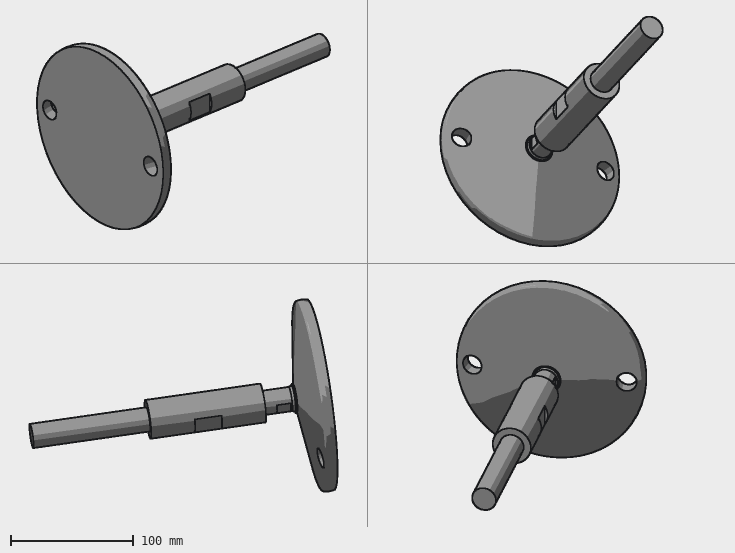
import cadquery as cq
import math

PLATE_DIAMETER = 158.0
RIM_DRAFT = 0.5
SEAM_HEIGHT = 4.0
RIM_HEIGHT = 9.3
RIM_FILLET = 2.5
CONE_TOP_HEIGHT = 20.8
CONE_TOP_RADIUS = 10.8

HOLE_DIAMETER = 16.5
HOLE_OFFSET = 62.5

ROD_DIAMETER = 20.0
ROD_END = 239.0
ROD_FLATS_WIDTH = 17.0
ROD_FLATS_START = 26.0
ROD_FLATS_LENGTH = 11.5

LIP_RADIUS = 12.0
LIP_HEIGHT = 22.0
FLARE_RADIUS = 11.0
FLARE_START = 22.5
FLARE_END = 24.9

SLEEVE_DIAMETER = 32.0
SLEEVE_START = 47.8
SLEEVE_LENGTH = 95.0
SLEEVE_FLATS_WIDTH = 27.0
SLEEVE_FLATS_LENGTH = 22.2

plate_radius = PLATE_DIAMETER / 2
rim_radius = plate_radius - RIM_DRAFT
rod_radius = ROD_DIAMETER / 2
sleeve_radius = SLEEVE_DIAMETER / 2
sleeve_end = SLEEVE_START + SLEEVE_LENGTH
sleeve_flats_start = SLEEVE_START + (SLEEVE_LENGTH - SLEEVE_FLATS_LENGTH) / 2


def revolve_about_y(points):
    """Revolve a closed (radius, y) profile about the Y axis."""
    return cq.Workplane("XY").polyline(points).close().revolve(360, (0, 0, 0), (0, 1, 0))


def make_hole_cutter(side):
    """Cylinder through the plate, leaning outward on the given X side."""
    cone_slope = math.atan2(CONE_TOP_HEIGHT - RIM_HEIGHT, rim_radius - CONE_TOP_RADIUS)
    direction = cq.Vector(side * math.sin(cone_slope), math.cos(cone_slope), 0)
    reach = 2 * CONE_TOP_HEIGHT
    start = cq.Vector(side * HOLE_OFFSET, 0, 0) - direction * reach
    return cq.Solid.makeCylinder(HOLE_DIAMETER / 2, 2 * reach, start, direction)


def make_foot_plate():
    plate = revolve_about_y([
        (0, 0),
        (rim_radius, 0),
        (plate_radius, SEAM_HEIGHT),
        (rim_radius, RIM_HEIGHT),
        (CONE_TOP_RADIUS, CONE_TOP_HEIGHT),
        (0, CONE_TOP_HEIGHT),
    ])
    rim_corner = cq.selectors.BoxSelector(
        (-plate_radius, SEAM_HEIGHT + RIM_FILLET, -plate_radius),
        (plate_radius, RIM_HEIGHT + RIM_FILLET, plate_radius),
        boundingbox=False,
    )
    plate = plate.edges("%CIRCLE").edges(rim_corner).fillet(RIM_FILLET)
    for side in (-1, 1):
        plate = plate.cut(cq.Workplane(make_hole_cutter(side)))
    return plate


def cut_flats(body, across, start, length, outer_diameter):
    """Cut a pair of wrench flats facing -X and +X."""
    for side in (-1, 1):
        cutter = (
            cq.Workplane("XY")
            .box(outer_diameter, length, outer_diameter)
            .translate((side * (across + outer_diameter) / 2, start + length / 2, 0))
        )
        body = body.cut(cutter)
    return body


def make_spindle():
    spindle = revolve_about_y([
        (0, CONE_TOP_HEIGHT),
        (CONE_TOP_RADIUS, CONE_TOP_HEIGHT),
        (LIP_RADIUS, LIP_HEIGHT),
        (FLARE_RADIUS, FLARE_START),
        (rod_radius, FLARE_END),
        (rod_radius, SLEEVE_START),
        (sleeve_radius, SLEEVE_START),
        (sleeve_radius, sleeve_end),
        (rod_radius, sleeve_end),
        (rod_radius, ROD_END),
        (0, ROD_END),
    ])
    spindle = cut_flats(spindle, ROD_FLATS_WIDTH, ROD_FLATS_START, ROD_FLATS_LENGTH, ROD_DIAMETER)
    return cut_flats(
        spindle, SLEEVE_FLATS_WIDTH, sleeve_flats_start, SLEEVE_FLATS_LENGTH, SLEEVE_DIAMETER
    )


foot_plate = make_foot_plate()
spindle = make_spindle()

result = cq.Compound.makeCompound([foot_plate.solids().val(), spindle.solids().val()])